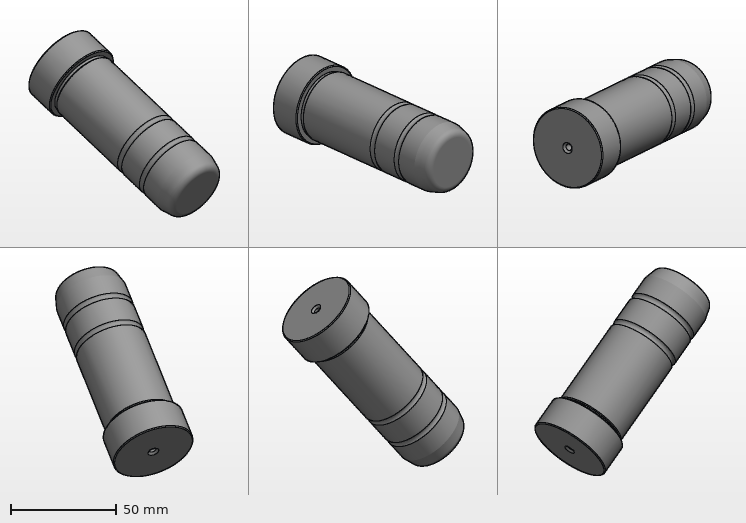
import cadquery as cq
import math

total_length = 100.0
head_length = 16.0
head_radius = 20.0
head_chamfer = 0.5

body_radius = 17.5
relief_radius = 17.0
relief_end = 17.5
relief_chamfer = body_radius - relief_radius

groove_centers = (64.0, 80.0)
groove_width = 3.0
groove_depth = 0.7

taper_start = 92.0
taper_angle = math.radians(15)
nose_round = 3.5

center_mouth_radius = 2.7
center_drill_radius = 1.6
center_cone_half_angle = math.radians(45)
center_depth = 6.0
drill_tip_half_angle = math.radians(60)


def revolve_about_x(profile):
    return profile.close().revolve(360, (0, 0, 0), (1, 0, 0))


def make_body():
    """Revolve the head, relief, grooved body and nose as one profile."""
    round_x = total_length - nose_round
    tangent_x = round_x + nose_round * math.sin(taper_angle)
    tangent_radius = body_radius - (tangent_x - taper_start) * math.tan(taper_angle)
    round_radius = tangent_radius - nose_round * math.cos(taper_angle)
    mid_angle = (math.pi / 2 - taper_angle) / 2
    round_mid = (
        round_x + nose_round * math.cos(mid_angle),
        round_radius + nose_round * math.sin(mid_angle),
    )

    profile = (
        cq.Workplane("XY")
        .moveTo(0, 0)
        .lineTo(0, head_radius - head_chamfer)
        .lineTo(head_chamfer, head_radius)
        .lineTo(head_length - head_chamfer, head_radius)
        .lineTo(head_length, head_radius - head_chamfer)
        .lineTo(head_length, relief_radius)
        .lineTo(relief_end, relief_radius)
        .lineTo(relief_end + relief_chamfer, body_radius)
    )
    for center in groove_centers:
        profile = profile.lineTo(center - groove_width / 2, body_radius).threePointArc(
            (center, body_radius - groove_depth),
            (center + groove_width / 2, body_radius),
        )
    profile = (
        profile.lineTo(taper_start, body_radius)
        .lineTo(tangent_x, tangent_radius)
        .threePointArc(round_mid, (total_length, round_radius))
        .lineTo(total_length, 0)
    )
    return revolve_about_x(profile)


def make_center_hole():
    """Conical mouth, straight drill and pointed drill tip."""
    cone_depth = (center_mouth_radius - center_drill_radius) / math.tan(center_cone_half_angle)
    tip_length = center_drill_radius / math.tan(drill_tip_half_angle)
    profile = (
        cq.Workplane("XY")
        .moveTo(0, 0)
        .lineTo(0, center_mouth_radius)
        .lineTo(cone_depth, center_drill_radius)
        .lineTo(center_depth, center_drill_radius)
        .lineTo(center_depth + tip_length, 0)
    )
    return revolve_about_x(profile)


result = make_body().cut(make_center_hole())